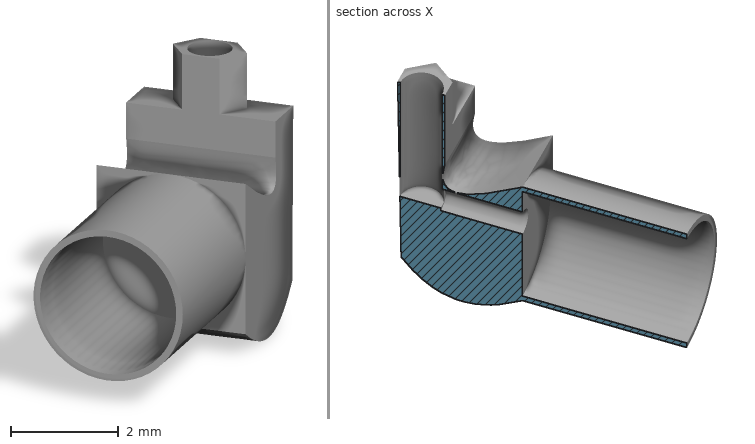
import cadquery as cq


tube_outer_radius = 1.48
tube_inner_radius = 1.35
tube_length = 3.29

block_width = 2 * tube_outer_radius
block_top = 2.19
block_front_half_height = tube_outer_radius
neck_front = 1.555
back_bottom = 2.44
back_bottom_height = -1.24
groove_controls = [(1.25, 0.66), (1.755, 0.61)]
belly_controls = [(1.75, -2.1), (1.0, -2.17)]

nozzle_top = 3.285
nozzle_half_length = 0.735
nozzle_flat_half_length = 0.37
nozzle_back = 2.51

riser_radius = 0.42
riser_center = (nozzle_back + neck_front) / 2
riser_floor = 0.33
port_radius = 0.28
port_height = 0.54
port_depth = 1.64


def back_at(height):
    """Y of the sloping back plane, which runs from the block's lower back edge to the nozzle's rim."""
    slope = (nozzle_back - back_bottom) / (nozzle_top - back_bottom_height)
    return back_bottom + slope * (height - back_bottom_height)


def make_block():
    """Side profile in the YZ plane, with a curved groove above and a curved belly below."""
    front_top = (0, block_front_half_height)
    front_bottom = (0, -block_front_half_height)
    neck_bottom = (neck_front, block_front_half_height)
    back_corner = (back_bottom, back_bottom_height)
    return (
        cq.Workplane("YZ", origin=(-block_width / 2, 0, 0))
        .moveTo(*neck_bottom)
        .lineTo(neck_front, block_top)
        .lineTo(back_at(block_top), block_top)
        .lineTo(*back_corner)
        .bezier([back_corner] + belly_controls + [front_bottom])
        .lineTo(*front_top)
        .bezier([front_top] + groove_controls + [neck_bottom])
        .close()
        .extrude(block_width)
    )


def make_tube():
    """Thin-walled tube standing out from the block's front face."""
    return (
        cq.Workplane("XZ")
        .circle(tube_outer_radius)
        .circle(tube_inner_radius)
        .extrude(tube_length)
    )


def make_nozzle():
    """Stretched hexagon on top of the block, flush with the neck's front and the sloping back."""
    corners = [
        (-nozzle_half_length, riser_center),
        (-nozzle_flat_half_length, neck_front),
        (nozzle_flat_half_length, neck_front),
        (nozzle_half_length, riser_center),
        (nozzle_flat_half_length, nozzle_back),
        (-nozzle_flat_half_length, nozzle_back),
    ]
    prism = (
        cq.Workplane("XY", origin=(0, 0, block_top))
        .polyline(corners)
        .close()
        .extrude(nozzle_top - block_top)
    )
    behind_back = (
        cq.Workplane("YZ", origin=(-nozzle_half_length, 0, 0))
        .moveTo(back_at(block_top), block_top)
        .lineTo(nozzle_back, nozzle_top)
        .lineTo(nozzle_back, block_top)
        .close()
        .extrude(2 * nozzle_half_length)
    )
    return prism.cut(behind_back)


def make_riser():
    """Blind vertical bore down through the nozzle into the block."""
    return (
        cq.Workplane("XY", origin=(0, riser_center, riser_floor))
        .circle(riser_radius)
        .extrude(nozzle_top - riser_floor)
    )


def make_port():
    """Blind hole from the floor of the tube that breaks into the riser."""
    return (
        cq.Workplane("XZ", origin=(0, 0, port_height))
        .circle(port_radius)
        .extrude(-port_depth)
    )


body = make_block().union(make_tube()).union(make_nozzle())
result = body.cut(make_riser()).cut(make_port())